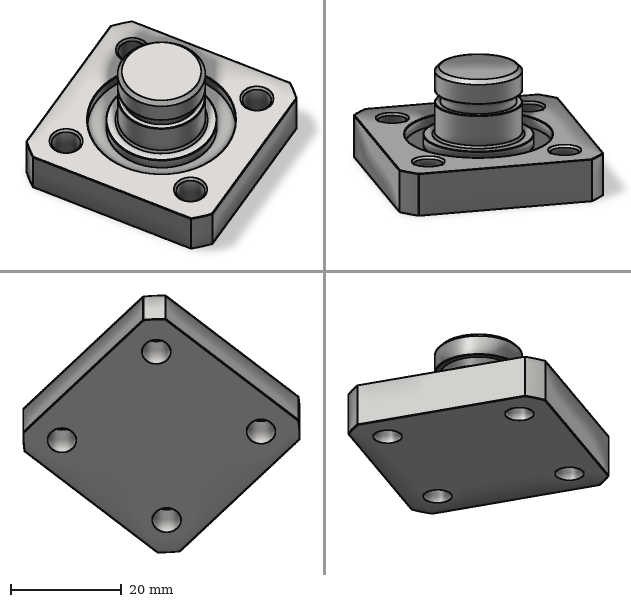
import cadquery as cq
import math

flange_width = 38.1
flange_height = 8.08
corner_diameter = 50.0
edge_bevel = 0.1
corner_bevel = 0.08

bolt_circle_diameter = 36.0
hole_diameter = 5.2
hole_bevel = 0.42

ring_inner_diameter = 20.0
ring_outer_diameter = 26.75
ring_depth = 2.0
ring_bevel = 0.1

total_height = 20.88
stud_diameter = 15.85
stud_tip_bevel = 0.75
stud_foot_bevel = 0.42
neck_diameter = 13.8
neck_bottom = 14.2
neck_top = 16.4
neck_rim_bevel = 0.1


def make_flange():
    """Square plate whose corners are turned to a common circle."""
    square = cq.Workplane("XY").box(
        flange_width, flange_width, flange_height, centered=(True, True, False)
    )
    corner_limit = cq.Workplane("XY").circle(corner_diameter / 2).extrude(flange_height)
    plate = square.intersect(corner_limit)
    plate = plate.edges("|Z").chamfer(corner_bevel)
    return plate.faces("<Z or >Z").edges().chamfer(edge_bevel)


def make_stud():
    """Turned stud, revolved from its half section in the XZ plane."""
    stud_radius = stud_diameter / 2
    neck_radius = neck_diameter / 2
    half_section = [
        (0, 0),
        (stud_radius + stud_foot_bevel, 0),
        (stud_radius + stud_foot_bevel, flange_height),
        (stud_radius, flange_height + stud_foot_bevel),
        (stud_radius, neck_bottom - neck_rim_bevel),
        (stud_radius - neck_rim_bevel, neck_bottom),
        (neck_radius, neck_bottom),
        (neck_radius, neck_top),
        (stud_radius - neck_rim_bevel, neck_top),
        (stud_radius, neck_top + neck_rim_bevel),
        (stud_radius, total_height - stud_tip_bevel),
        (stud_radius - stud_tip_bevel, total_height),
        (0, total_height),
    ]
    return cq.Workplane("XZ").polyline(half_section).close().revolve(360, (0, 0), (0, 1))


def make_ring_groove():
    """Cutter for the ring groove, flared at both rims."""
    inner_radius = ring_inner_diameter / 2
    outer_radius = ring_outer_diameter / 2
    floor = flange_height - ring_depth
    half_section = [
        (inner_radius, floor),
        (outer_radius, floor),
        (outer_radius, flange_height - ring_bevel),
        (outer_radius + ring_bevel, flange_height),
        (inner_radius - ring_bevel, flange_height),
        (inner_radius, flange_height - ring_bevel),
    ]
    return cq.Workplane("XZ").polyline(half_section).close().revolve(360, (0, 0), (0, 1))


def make_mounting_hole():
    """Cutter for one through hole, bevelled at its upper rim."""
    shaft = cq.Workplane("XY").circle(hole_diameter / 2).extrude(flange_height)
    flare = (
        cq.Workplane("XY")
        .workplane(offset=flange_height)
        .circle(hole_diameter / 2 + hole_bevel)
        .extrude(-hole_bevel, taper=45)
    )
    return shaft.union(flare)


result = make_flange().cut(make_ring_groove()).union(make_stud())

hole_offset = bolt_circle_diameter / 2 / math.sqrt(2)
for x_side in (-1, 1):
    for y_side in (-1, 1):
        hole_position = (x_side * hole_offset, y_side * hole_offset, 0)
        result = result.cut(make_mounting_hole().translate(hole_position))